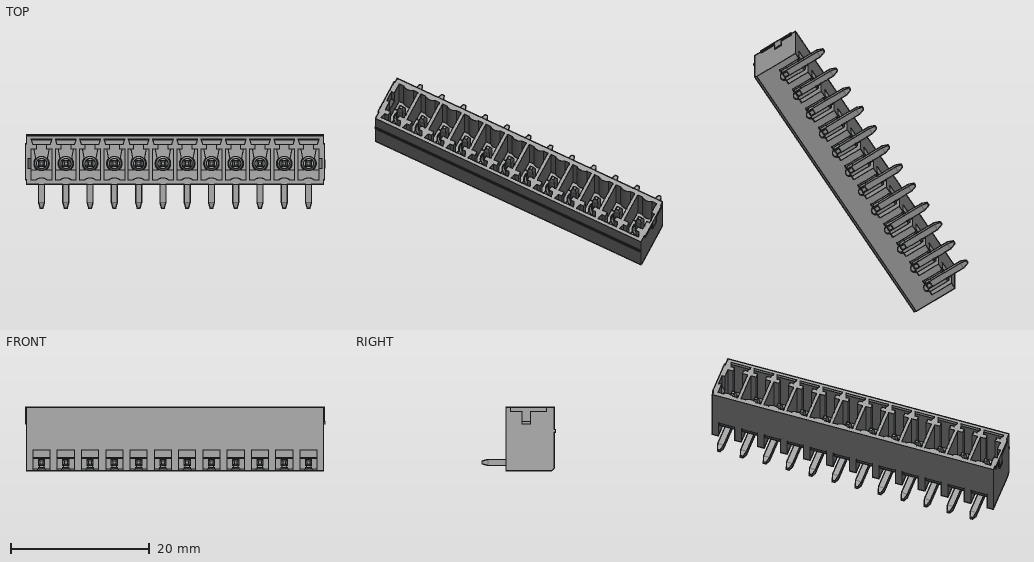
import cadquery as cq


CONTACT_COUNT = 12
PITCH = 3.5
CONTACT_XS = [(i - (CONTACT_COUNT - 1) / 2) * PITCH for i in range(CONTACT_COUNT)]

HOUSING_LENGTH = 42.84
HOUSING_HEIGHT = 9.2
FRONT_Y = -3.0
BACK_Y = 4.0
BACK_CHAMFER = 0.4
END_X = HOUSING_LENGTH / 2

RIB_DEPTH = 0.15
RIB_HEIGHT = 0.4
RIB_BOTTOM = 5.57

PLATE_THICKNESS = 0.15
PLATE_BAR_FRONT = -2.34
PLATE_BAR_BACK = 2.86
PLATE_BAR_HEIGHT = 0.65
PLATE_STEM_WIDTH = 1.17
PLATE_STEM_Y = -0.07
PLATE_STEM_BOTTOM = 6.75
CATCH_HEIGHT = 0.35
CATCH_THICKNESS = 0.06

CAVITY_WIDTH = 3.0
CAVITY_FRONT = -2.34
CAVITY_BACK = 2.08
CHANNEL_FLOOR = 2.5
CAVITY_FLOOR = 2.8
FLOOR_PLATE_FRONT = -0.91

CHANNEL_RADIUS = 1.12
CHANNEL_BACK_HALF = 1.1
CHANNEL_THROAT_HALF = 0.85
CHANNEL_THROAT_Y = 0.75

NECK_WIDTH = 1.43
SLOT_FRONT = 2.73
SLOT_BACK = 3.5
SLOT_FRONT_WIDTH = 2.5
SLOT_BACK_WIDTH = CAVITY_WIDTH
SLOT_LEAD_DEPTH = 0.13
SLOT_LEAD_HEIGHT = 0.3

KEY_CHORD = 1.56
KEY_RISE = 0.26

GROOVE_WIDTH = 1.5
GROOVE_X = 21.2
GROOVE_BOTTOM = PLATE_STEM_BOTTOM
GROOVE_SLOPE_DROP = 0.75

WINDOW_WIDTH = 2.47
WINDOW_HEIGHT = 3.0
WINDOW_RECESS = 0.45
TUNNEL_MOUTH_HEIGHT = 1.95
TUNNEL_HEIGHT = 1.8
TUNNEL_BACK = 1.0
LIP_HEIGHT = 0.26
LIP_DEPTH = 0.65
NOTCH_RADIUS = 0.6
NOTCH_CENTER_OFFSET = 0.1
WEDGE_WIDTH = 0.92
WEDGE_TOP = 0.5

PIN_SIZE = 0.9
PIN_TIP_SIZE = 0.42
PIN_TIP_LENGTH = 0.85
PIN_END_Y = -6.45
PIN_Z = 1.22
POST_TOP = 7.0
STUB_SIZE = 0.65

BOSS_BASE_RADIUS = 1.02
BOSS_TOP_RADIUS = 0.73
BOSS_HEIGHT = 0.5


def box(x0, x1, y0, y1, z0, z1):
    return cq.Workplane("XY").box(x1 - x0, y1 - y0, z1 - z0, centered=False).translate((x0, y0, z0))


def centered_box(width, y0, y1, z0, z1):
    return box(-width / 2, width / 2, y0, y1, z0, z1)


def prism(points, z0, z1):
    return cq.Workplane("XY").workplane(offset=z0).polyline(points).close().extrude(z1 - z0)


def repeat(shape):
    """Copies of one shape at every contact position."""
    copies = [shape.val().moved(cq.Location(cq.Vector(x, 0, 0))) for x in CONTACT_XS]
    return cq.Workplane("XY").newObject([cq.Compound.makeCompound(copies)])


def housing_block():
    block = centered_box(HOUSING_LENGTH, FRONT_Y, BACK_Y, 0, HOUSING_HEIGHT)
    block = block.faces(">Y").edges("<Z").chamfer(BACK_CHAMFER)
    rib = centered_box(HOUSING_LENGTH, SLOT_BACK, BACK_Y + RIB_DEPTH, RIB_BOTTOM, RIB_BOTTOM + RIB_HEIGHT)
    return block.union(rib)


def end_plates():
    """T plates on both end faces; they share one long bar and stem through the housing."""
    length = HOUSING_LENGTH + 2 * PLATE_THICKNESS
    stem_front = PLATE_STEM_Y - PLATE_STEM_WIDTH / 2
    stem_back = PLATE_STEM_Y + PLATE_STEM_WIDTH / 2
    bar_bottom = HOUSING_HEIGHT - PLATE_BAR_HEIGHT
    bar = centered_box(length, PLATE_BAR_FRONT, PLATE_BAR_BACK, bar_bottom, HOUSING_HEIGHT)
    stem = centered_box(length, stem_front, stem_back, PLATE_STEM_BOTTOM, HOUSING_HEIGHT)
    catch_end = length / 2 + CATCH_THICKNESS
    catch_top = PLATE_STEM_BOTTOM + CATCH_HEIGHT
    catch = box(END_X, catch_end, stem_front, stem_back, PLATE_STEM_BOTTOM, catch_top)
    return bar.union(stem).union(catch)


def front_key():
    half = KEY_CHORD / 2
    return (
        cq.Workplane("XY")
        .moveTo(-half, CAVITY_FRONT)
        .threePointArc((0, CAVITY_FRONT + KEY_RISE), (half, CAVITY_FRONT))
        .close()
        .extrude(HOUSING_HEIGHT)
    )


def t_slot():
    """Dovetail slot with a neck into the cavity and a lead-in slope along its back edge."""
    neck = centered_box(NECK_WIDTH, CAVITY_BACK, SLOT_FRONT, CHANNEL_FLOOR, HOUSING_HEIGHT)
    wall_y = SLOT_BACK - SLOT_LEAD_DEPTH
    head = prism(
        [
            (-SLOT_FRONT_WIDTH / 2, SLOT_FRONT),
            (SLOT_FRONT_WIDTH / 2, SLOT_FRONT),
            (SLOT_BACK_WIDTH / 2, SLOT_BACK),
            (-SLOT_BACK_WIDTH / 2, SLOT_BACK),
        ],
        CAVITY_FLOOR,
        HOUSING_HEIGHT,
    )
    back_wall = (
        cq.Workplane("YZ")
        .polyline(
            [
                (SLOT_BACK, HOUSING_HEIGHT),
                (wall_y, HOUSING_HEIGHT - SLOT_LEAD_HEIGHT),
                (wall_y, CAVITY_FLOOR),
                (SLOT_BACK, CAVITY_FLOOR),
            ]
        )
        .close()
        .extrude(SLOT_BACK_WIDTH / 2, both=True)
    )
    return neck.union(head.cut(back_wall))


def cavity():
    upper = centered_box(CAVITY_WIDTH, CAVITY_FRONT, CAVITY_BACK, CAVITY_FLOOR, HOUSING_HEIGHT)
    front_floor = centered_box(CAVITY_WIDTH, CAVITY_FRONT, FLOOR_PLATE_FRONT, CHANNEL_FLOOR, CAVITY_FLOOR)
    round_channel = (
        cq.Workplane("XY")
        .workplane(offset=CHANNEL_FLOOR)
        .circle(CHANNEL_RADIUS)
        .extrude(CAVITY_FLOOR - CHANNEL_FLOOR)
    )
    back_channel = prism(
        [
            (-CHANNEL_THROAT_HALF, 0),
            (CHANNEL_THROAT_HALF, 0),
            (CHANNEL_THROAT_HALF, CHANNEL_THROAT_Y),
            (CHANNEL_BACK_HALF, CAVITY_BACK),
            (-CHANNEL_BACK_HALF, CAVITY_BACK),
            (-CHANNEL_THROAT_HALF, CHANNEL_THROAT_Y),
        ],
        CHANNEL_FLOOR,
        CAVITY_FLOOR,
    )
    return upper.union(front_floor).union(round_channel).union(back_channel).cut(front_key()).union(t_slot())


def solder_window():
    """Shallow recess over a low tunnel that lets the bent pin out of the front wall."""
    recess = centered_box(WINDOW_WIDTH, FRONT_Y, FRONT_Y + WINDOW_RECESS, 0, WINDOW_HEIGHT)
    mouth = centered_box(WINDOW_WIDTH, FRONT_Y, CAVITY_FRONT, 0, TUNNEL_MOUTH_HEIGHT)
    tunnel = centered_box(WINDOW_WIDTH, FRONT_Y, TUNNEL_BACK, 0, TUNNEL_HEIGHT)
    lip_front = TUNNEL_BACK - LIP_DEPTH
    lip = centered_box(WINDOW_WIDTH, lip_front, TUNNEL_BACK, 0, LIP_HEIGHT)
    notch_y = lip_front - NOTCH_CENTER_OFFSET
    notch = cq.Workplane("XY").center(0, notch_y).circle(NOTCH_RADIUS).extrude(LIP_HEIGHT)
    wedge = (
        cq.Workplane("YZ")
        .polyline([(TUNNEL_BACK, LIP_HEIGHT), (lip_front, WEDGE_TOP), (TUNNEL_BACK, WEDGE_TOP)])
        .close()
        .extrude(WEDGE_WIDTH / 2, both=True)
    )
    return recess.union(mouth).union(tunnel).cut(lip.cut(notch)).cut(wedge)


def end_groove():
    """Groove in the +X end wall, open to the last cavity, with a floor sloping down into it."""
    inner_x = CONTACT_XS[-1] + CAVITY_WIDTH / 2
    return (
        cq.Workplane("XZ")
        .polyline(
            [
                (inner_x, HOUSING_HEIGHT),
                (GROOVE_X, HOUSING_HEIGHT),
                (GROOVE_X, GROOVE_BOTTOM),
                (inner_x, GROOVE_BOTTOM - GROOVE_SLOPE_DROP),
            ]
        )
        .close()
        .extrude(GROOVE_WIDTH / 2, both=True)
    )


def pointed_bar(workplane, length):
    """Square bar along the workplane normal, ending in a blunt pyramid."""
    shank = length - PIN_TIP_LENGTH
    bar = workplane.rect(PIN_SIZE, PIN_SIZE).extrude(shank)
    tip = (
        workplane.workplane(offset=shank)
        .rect(PIN_SIZE, PIN_SIZE)
        .workplane(offset=PIN_TIP_LENGTH)
        .rect(PIN_TIP_SIZE, PIN_TIP_SIZE)
        .loft(ruled=True)
    )
    return bar.union(tip)


def contact():
    """Bent pin: a post in the cavity, a tail out of the front, and a stub under the bend."""
    pin_bottom = PIN_Z - PIN_SIZE / 2
    post = pointed_bar(cq.Workplane("XY", origin=(0, 0, pin_bottom)), POST_TOP - pin_bottom)
    tail_start = PIN_SIZE / 2
    tail = pointed_bar(cq.Workplane("XZ", origin=(0, tail_start, PIN_Z)), tail_start - PIN_END_Y)
    stub = centered_box(STUB_SIZE, -STUB_SIZE / 2, STUB_SIZE / 2, WEDGE_TOP, PIN_Z)
    boss = (
        cq.Workplane("XY")
        .workplane(offset=CHANNEL_FLOOR)
        .circle(BOSS_BASE_RADIUS)
        .workplane(offset=BOSS_HEIGHT)
        .circle(BOSS_TOP_RADIUS)
        .loft()
    )
    return post.union(tail).union(stub).union(boss)


groove = end_groove()
result = housing_block().union(end_plates())
result = result.cut(repeat(cavity()))
result = result.cut(repeat(solder_window()))
result = result.cut(groove).cut(groove.mirror("YZ"))
result = result.union(repeat(contact()))